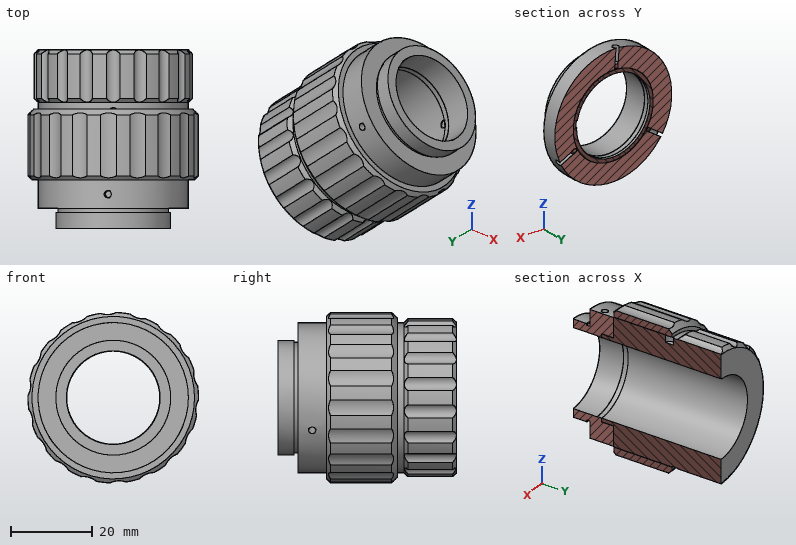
import cadquery as cq
import math


TOTAL_LENGTH = 44.0
FLANGE_LENGTH = 4.0
GROOVE_LENGTH = 0.95
COLLAR_LENGTH = 7.0
FOCUS_RING_LENGTH = 17.5
HEAD_LENGTH = 13.0
LIP_START = 7.15
LIP_LENGTH = 1.35

FLANGE_RADIUS = 14.12
GROOVE_RADIUS = 13.65
COLLAR_RADIUS = 18.5
FOCUS_RING_RADIUS = 21.0
HEAD_RADIUS = 19.5
MOUNT_BORE_RADIUS = 11.55
LIP_RADIUS = 11.45
SLEEVE_BORE_RADIUS = LIP_RADIUS
SOCKET_RADIUS = 12.5

FOCUS_FRONT_CHAMFER = 1.0
FOCUS_REAR_CHAMFER = 1.5
HEAD_CHAMFER = HEAD_RADIUS - COLLAR_RADIUS

FLUTE_COUNT = 18
FOCUS_FLUTE_RADIUS = 5.0
FOCUS_FLUTE_DEPTH = 0.5
FOCUS_FLUTE_ANGLE = 93.2
HEAD_FLUTE_RADIUS = 2.0
HEAD_FLUTE_DEPTH = 0.92
HEAD_FLUTE_ANGLE = 90.0

SCREW_COUNT = 3
SCREW_ANGLE = 94.2
SCREW_RADIUS = 0.9
SCREW_SEAT_RADIUS = 12.95
SCREW_LENGTH = 1.15
NECK_HOLE_ANGLE = 90.0
NECK_HOLE_RADIUS = 1.1
NECK_HOLE_DEPTH = 2.0
NECK_HOLE_OVERHANG = 0.25
NOSE_RECESS_ANGLE = 6.5
NOSE_RECESS_RADIUS = 1.0
NOSE_RECESS_DEPTH = 0.25
NOSE_RECESS_POSITION = 8.98

CUT_MARGIN = 0.45

collar_front = FLANGE_LENGTH + GROOVE_LENGTH
collar_rear = collar_front + COLLAR_LENGTH
focus_rear = collar_rear + FOCUS_RING_LENGTH
head_front = TOTAL_LENGTH - HEAD_LENGTH
lip_end = LIP_START + LIP_LENGTH
screw_position = collar_front + COLLAR_LENGTH / 2
neck_hole_position = focus_rear + NECK_HOLE_OVERHANG - NECK_HOLE_RADIUS
screw_angles = [SCREW_ANGLE + i * 360 / SCREW_COUNT for i in range(SCREW_COUNT)]


def turned(profile):
    """Revolve a list of (radius, position) points about the Y axis."""
    return cq.Workplane("XY").polyline(profile).close().revolve(360, (0, 0, 0), (0, 1, 0))


def radial_cylinder(radius, angle, position, inner, outer):
    """A cylinder pointing outwards from the axis, between two distances from it."""
    direction = cq.Vector(math.cos(math.radians(angle)), 0, math.sin(math.radians(angle)))
    base = direction * inner + cq.Vector(0, position, 0)
    return cq.Workplane(cq.Solid.makeCylinder(radius, outer - inner, base, direction))


def cut_flutes(body, body_radius, flute_radius, depth, first_angle):
    """Cut evenly spaced scalloped grooves along the whole body."""
    center_distance = body_radius - depth + flute_radius
    for i in range(FLUTE_COUNT):
        angle = math.radians(first_angle + i * 360 / FLUTE_COUNT)
        base = cq.Vector(center_distance * math.cos(angle), 0, center_distance * math.sin(angle))
        flute = cq.Solid.makeCylinder(flute_radius, TOTAL_LENGTH, base, cq.Vector(0, 1, 0))
        body = body.cut(cq.Workplane(flute))
    return body


def make_mount():
    """Front mount: flange, groove and collar, with a lipped bore and a socket for the sleeve."""
    mount = turned([
        (MOUNT_BORE_RADIUS, 0),
        (FLANGE_RADIUS, 0),
        (FLANGE_RADIUS, FLANGE_LENGTH),
        (GROOVE_RADIUS, FLANGE_LENGTH),
        (GROOVE_RADIUS, collar_front),
        (COLLAR_RADIUS, collar_front),
        (COLLAR_RADIUS, collar_rear),
        (SOCKET_RADIUS, collar_rear),
        (SOCKET_RADIUS, lip_end),
        (LIP_RADIUS, lip_end),
        (LIP_RADIUS, LIP_START),
        (MOUNT_BORE_RADIUS, LIP_START),
    ])
    for angle in screw_angles:
        hole_mouth = COLLAR_RADIUS + CUT_MARGIN
        hole = radial_cylinder(SCREW_RADIUS, angle, screw_position, SCREW_SEAT_RADIUS, hole_mouth)
        mount = mount.cut(hole)
    return mount


def make_set_screw(angle):
    """Headless set screw sunk to the floor of its radial hole in the collar."""
    screw_outer = SCREW_SEAT_RADIUS + SCREW_LENGTH
    return radial_cylinder(SCREW_RADIUS, angle, screw_position, SCREW_SEAT_RADIUS, screw_outer)


def make_focus_ring():
    """Large fluted ring that turns on the sleeve."""
    ring = turned([
        (COLLAR_RADIUS, collar_rear),
        (FOCUS_RING_RADIUS - FOCUS_FRONT_CHAMFER, collar_rear),
        (FOCUS_RING_RADIUS, collar_rear + FOCUS_FRONT_CHAMFER),
        (FOCUS_RING_RADIUS, focus_rear - FOCUS_REAR_CHAMFER),
        (FOCUS_RING_RADIUS - FOCUS_REAR_CHAMFER, focus_rear),
        (COLLAR_RADIUS, focus_rear),
    ])
    return cut_flutes(ring, FOCUS_RING_RADIUS, FOCUS_FLUTE_RADIUS, FOCUS_FLUTE_DEPTH, FOCUS_FLUTE_ANGLE)


def make_sleeve():
    """Sleeve: nose in the mount, barrel under the focus ring, and a fluted head at the rear."""
    head = turned([
        (SLEEVE_BORE_RADIUS, head_front),
        (COLLAR_RADIUS, head_front),
        (HEAD_RADIUS, head_front + HEAD_CHAMFER),
        (HEAD_RADIUS, TOTAL_LENGTH - HEAD_CHAMFER),
        (HEAD_RADIUS - HEAD_CHAMFER, TOTAL_LENGTH),
        (SLEEVE_BORE_RADIUS, TOTAL_LENGTH),
    ])
    head = cut_flutes(head, HEAD_RADIUS, HEAD_FLUTE_RADIUS, HEAD_FLUTE_DEPTH, HEAD_FLUTE_ANGLE)
    barrel = turned([
        (SLEEVE_BORE_RADIUS, lip_end),
        (SOCKET_RADIUS, lip_end),
        (SOCKET_RADIUS, collar_rear),
        (COLLAR_RADIUS, collar_rear),
        (COLLAR_RADIUS, head_front),
        (SLEEVE_BORE_RADIUS, head_front),
    ])
    sleeve = head.union(barrel)
    neck_hole = radial_cylinder(
        NECK_HOLE_RADIUS,
        NECK_HOLE_ANGLE,
        neck_hole_position,
        COLLAR_RADIUS - NECK_HOLE_DEPTH,
        COLLAR_RADIUS + CUT_MARGIN,
    )
    nose_recess = radial_cylinder(
        NOSE_RECESS_RADIUS,
        NOSE_RECESS_ANGLE,
        NOSE_RECESS_POSITION,
        SLEEVE_BORE_RADIUS - CUT_MARGIN,
        SLEEVE_BORE_RADIUS + NOSE_RECESS_DEPTH,
    )
    return sleeve.cut(neck_hole).cut(nose_recess)


mount = make_mount()
set_screws = [make_set_screw(angle) for angle in screw_angles]
focus_ring = make_focus_ring()
sleeve = make_sleeve()

result = cq.Compound.makeCompound([
    mount.val(),
    *[screw.val() for screw in set_screws],
    focus_ring.val(),
    sleeve.val(),
])